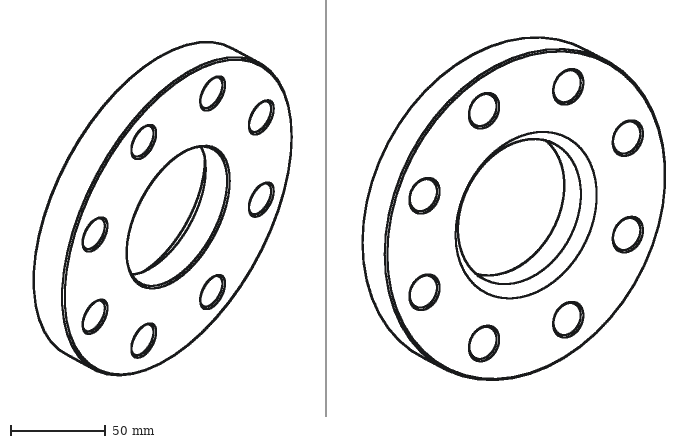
import cadquery as cq

outer_diameter = 185.0
thickness = 22.0
edge_chamfer = 1.0

bore_diameter = 81.0
bore_mouth_diameter = 93.0
bore_chamfer = (bore_mouth_diameter - bore_diameter) / 2

hole_count = 8
hole_diameter = 18.0
hole_chamfer = 1.0
bolt_circle_diameter = 145.0
first_hole_angle = 180 / hole_count


def revolve_about_x(profile_points):
    """Revolve a closed (x, radius) profile a full turn about the X axis."""
    profile = cq.Workplane("XY").polyline(profile_points).close()
    return profile.revolve(360, (0, 0, 0), (1, 0, 0))


def make_disc():
    """Disc with its bore, chamfered on both rims and at both ends of the bore."""
    half = thickness / 2
    outer_radius = outer_diameter / 2
    bore_radius = bore_diameter / 2
    return revolve_about_x([
        (-half, bore_radius + bore_chamfer),
        (-half, outer_radius - edge_chamfer),
        (-half + edge_chamfer, outer_radius),
        (half - edge_chamfer, outer_radius),
        (half, outer_radius - edge_chamfer),
        (half, bore_radius + edge_chamfer),
        (half - edge_chamfer, bore_radius),
        (-half + bore_chamfer, bore_radius),
    ])


def make_hole_cutter():
    """Through-hole cutter on the X axis, flared at both faces."""
    half = thickness / 2
    radius = hole_diameter / 2
    return revolve_about_x([
        (-half, 0),
        (-half, radius + hole_chamfer),
        (-half + hole_chamfer, radius),
        (half - hole_chamfer, radius),
        (half, radius + hole_chamfer),
        (half, 0),
    ])


result = make_disc()
hole_cutter = make_hole_cutter().translate((0, bolt_circle_diameter / 2, 0))
for index in range(hole_count):
    angle = first_hole_angle + index * 360 / hole_count
    result = result.cut(hole_cutter.rotate((0, 0, 0), (1, 0, 0), angle))